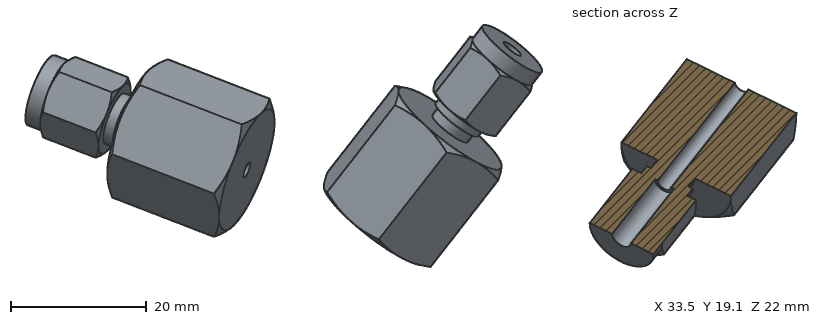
import cadquery as cq
import math

total_length = 33.52
nose_length = 2.4
nut_length = 9.55
collar_length = 1.55
neck_length = 1.7

nut_width = 11.1
body_width = 19.05
nose_diameter = nut_width
collar_diameter = 8.0
neck_diameter = 6.57

socket_diameter = 3.22
socket_depth = nose_length + nut_length
passage_diameter = 2.28

half_flat_angle = math.pi / 6

corner_chamfer_angle = math.radians(30)

nut_start = nose_length
collar_start = nut_start + nut_length
neck_start = collar_start + collar_length
body_start = neck_start + neck_length
body_length = total_length - body_start


def cylinder(start, length, diameter):
    """Round bar along +X, centred on the fitting axis."""
    return cq.Workplane("YZ", origin=(start, 0, 0)).circle(diameter / 2).extrude(length)


def chamfered_hexagon(start, length, width):
    """Hexagon bar with flats facing +Y and -Y, its corners turned down at both ends."""
    flat_radius = width / 2
    corner_radius = flat_radius / math.cos(half_flat_angle)
    chamfer_length = (corner_radius - flat_radius) * math.tan(corner_chamfer_angle)
    end = start + length

    bar = (
        cq.Workplane("YZ", origin=(start, 0, 0))
        .polygon(6, 2 * corner_radius)
        .extrude(length)
        .rotate((0, 0, 0), (1, 0, 0), 90)
    )
    envelope = (
        cq.Workplane("XY")
        .moveTo(start, 0)
        .lineTo(start, flat_radius)
        .lineTo(start + chamfer_length, corner_radius)
        .lineTo(end - chamfer_length, corner_radius)
        .lineTo(end, flat_radius)
        .lineTo(end, 0)
        .close()
        .revolve(360, (0, 0, 0), (1, 0, 0))
    )
    return bar.intersect(envelope)


nose = cylinder(0, nose_length, nose_diameter)
nut = chamfered_hexagon(nut_start, nut_length, nut_width)

collar = cylinder(collar_start, collar_length, collar_diameter)
neck = cylinder(neck_start, neck_length, neck_diameter)

body = chamfered_hexagon(body_start, body_length, body_width)

socket = cylinder(0, socket_depth, socket_diameter)
passage = cylinder(0, total_length, passage_diameter)

result = nose.union(nut).union(collar).union(neck).union(body).cut(socket).cut(passage)